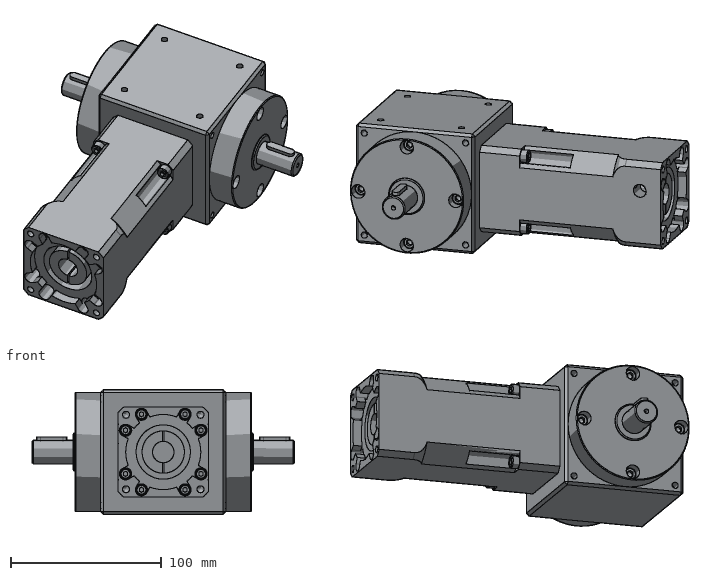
import cadquery as cq
import math

box_size = 83.0
box_half = box_size / 2
overall_length = 209.7
box_chamfer = 1.9
input_face_y = box_half - overall_length

flange_radius = 39.6
flange_face_x = 58.7
flange_chamfer = 0.6
flange_screw_offset = 34.0
flange_bore_radius = 4.6
flange_bore_depth = 10.5

tap_radius = 2.0
tap_depth = 8.4
top_tap_offset = 28.3
side_tap_offset = 35.5

shaft_radius = 8.0
shaft_half_length = 87.0
shaft_chamfer = 0.8
collar_radius = 12.5
collar_face_x = 60.0
collar_chamfer = 0.8
center_hole_radius = 1.5
center_hole_depth = 5.0

key_width = 5.0
key_length = 20.1
key_height = 5.0
key_top_z = 10.0
key_center_x = 74.0

square_size = 60.0
wide_corner_radius = 39.8
narrow_corner_radius = 35.0
adapter_end_y = -69.5
groove_end_y = -104.2
flare_end_y = -143.2
flare_arc_radius = 10.0

corner_screw_offset = 24.7
groove_radius = 5.0

corner_tap_radius = 2.3
pilot_radius = 25.0
pilot_depth = 6.0
bolt_circle_radius = 29.0
bolt_half_angle = 15.0
bolt_bore_radius = 4.0
bolt_bore_depth = 31.5
hub_pocket_radius = 18.0
hub_pocket_depth = 31.5
access_hole_radius = 4.5
access_hole_y = -153.5
access_hole_z = 10.0

hub_radius = 14.0
hub_bore_radius = 7.1
hub_face_depth = 6.5
hub_slot_width = 1.0
hub_slot_depth = 16.8

large_head_radius = 4.2
large_head_height = 5.0
large_hex_size = 4.0
small_head_radius = 3.5
small_head_height = 4.0
small_hex_size = 3.0
head_chamfer = 0.6
hex_depth_ratio = 0.5

drill_point_angle = 118.0

OUTWARD = (0, -1, 0)
INWARD = (0, 1, 0)


def cylinder(start, direction, radius, length):
    """Solid cylinder from a start point along a direction."""
    return cq.Workplane(cq.Solid.makeCylinder(radius, length, cq.Vector(*start), cq.Vector(*direction)))


def drill_tip(start, axis, radius):
    """Cone left by a drill beyond the end of a cylindrical hole."""
    tip_length = radius / math.tan(math.radians(drill_point_angle / 2))
    return cq.Workplane(cq.Solid.makeCone(radius, 0, tip_length, start, axis))


def drilled_hole(start, direction, radius, depth):
    """Cutter for a blind hole with a conical drill point."""
    axis = cq.Vector(*direction)
    tip = drill_tip(cq.Vector(*start) + axis * depth, axis, radius)
    return cylinder(start, direction, radius, depth).union(tip)


def socket_head(base, direction, radius, height, hex_size):
    """Screw head standing on its base point, with a hexagon socket in its top."""
    axis = cq.Vector(*direction)
    top = cq.Plane(origin=cq.Vector(*base) + axis * height, normal=axis)
    hex_diameter = hex_size / math.cos(math.pi / 6)
    socket = cq.Workplane(top).polygon(6, hex_diameter).extrude(-height * hex_depth_ratio)
    head = cylinder(base, direction, radius, height).faces(cq.DirectionMinMaxSelector(axis, True))
    return head.chamfer(head_chamfer).cut(socket)


def large_head(base, direction):
    """Large screw head, whose socket ends in a drill point."""
    head = socket_head(base, direction, large_head_radius, large_head_height, large_hex_size)
    socket_floor = cq.Vector(*base) + cq.Vector(*direction) * (large_head_height * (1 - hex_depth_ratio))
    tip = drill_tip(socket_floor, cq.Vector(*direction) * -1, large_hex_size / 2)
    return head.cut(tip)


def small_head(base, direction):
    """Small screw head with a flat socket floor."""
    return socket_head(base, direction, small_head_radius, small_head_height, small_hex_size)


def square_points(offset):
    """Four points of a centred square pattern."""
    return [(a, b) for a in (-offset, offset) for b in (-offset, offset)]


def build_housing():
    housing = cq.Workplane("XY").box(box_size, box_size, box_size).edges().chamfer(box_chamfer)

    flanges = cylinder((-flange_face_x, 0, 0), (1, 0, 0), flange_radius, 2 * flange_face_x)
    flanges = flanges.edges().chamfer(flange_chamfer)
    housing = housing.union(flanges)

    for side in (-1, 1):
        outward = (side, 0, 0)
        inward = (-side, 0, 0)
        for a, b in ((1, 0), (-1, 0), (0, 1), (0, -1)):
            y = a * flange_screw_offset
            z = b * flange_screw_offset
            start = (side * flange_face_x, y, z)
            base = (side * (flange_face_x - flange_bore_depth), y, z)
            bore = cylinder(start, inward, flange_bore_radius, flange_bore_depth)
            housing = housing.cut(bore).union(large_head(base, outward))
        for y, z in square_points(side_tap_offset):
            housing = housing.cut(drilled_hole((side * box_half, y, z), inward, tap_radius, tap_depth))

    for x, y in square_points(top_tap_offset):
        housing = housing.cut(drilled_hole((x, y, box_half), (0, 0, -1), tap_radius, tap_depth))

    shaft_bore = cylinder((-flange_face_x, 0, 0), (1, 0, 0), collar_radius, 2 * flange_face_x)
    return housing.cut(shaft_bore)


def build_key(side):
    key = cq.Workplane("XY").workplane(offset=key_top_z - key_height)
    key = key.center(side * key_center_x, 0).slot2D(key_length, key_width)
    return key.extrude(key_height)


def build_shaft(keys):
    shaft = cylinder((-shaft_half_length, 0, 0), (1, 0, 0), shaft_radius, 2 * shaft_half_length)
    shaft = shaft.edges().chamfer(shaft_chamfer)
    collar = cylinder((-collar_face_x, 0, 0), (1, 0, 0), collar_radius, 2 * collar_face_x)
    shaft = shaft.union(collar.edges().chamfer(collar_chamfer))
    for side in (-1, 1):
        start = (side * shaft_half_length, 0, 0)
        shaft = shaft.cut(drilled_hole(start, (-side, 0, 0), center_hole_radius, center_hole_depth))
    for key in keys:
        shaft = shaft.cut(key)
    return shaft


def gearbox_outline():
    """Square bar trimmed by a turned profile, which rounds the corners by different amounts."""
    length = -box_half - input_face_y
    bar = cq.Workplane("XZ", origin=(0, -box_half, 0)).rect(square_size, square_size).extrude(length)

    arc_center_radius = wide_corner_radius - flare_arc_radius
    start_angle = math.acos((narrow_corner_radius - arc_center_radius) / flare_arc_radius)
    flare_start_y = flare_end_y + flare_arc_radius * math.sin(start_angle)
    flare_middle = (
        arc_center_radius + flare_arc_radius * math.cos(start_angle / 2),
        flare_end_y + flare_arc_radius * math.sin(start_angle / 2),
    )
    turned = (
        cq.Workplane("XY")
        .moveTo(0, -box_half)
        .lineTo(wide_corner_radius, -box_half)
        .lineTo(wide_corner_radius, adapter_end_y)
        .lineTo(narrow_corner_radius, adapter_end_y)
        .lineTo(narrow_corner_radius, flare_start_y)
        .threePointArc(flare_middle, (wide_corner_radius, flare_end_y))
        .lineTo(wide_corner_radius, input_face_y)
        .lineTo(0, input_face_y)
        .close()
        .revolve(360, (0, 0, 0), (0, 1, 0))
    )
    return bar.intersect(turned)


def add_corner_grooves(gearbox):
    """Groove along each corner, with a large screw head standing on the adapter."""
    groove_length = adapter_end_y - groove_end_y
    for x, z in square_points(corner_screw_offset):
        start = (x, adapter_end_y, z)
        gearbox = gearbox.cut(cylinder(start, OUTWARD, groove_radius, groove_length))
        gearbox = gearbox.union(large_head(start, OUTWARD))
    return gearbox


def cut_input_face(gearbox):
    """Pilot recess, hub pocket and corner tapped holes of the motor flange."""
    face_center = (0, input_face_y, 0)
    gearbox = gearbox.cut(cylinder(face_center, INWARD, pilot_radius, pilot_depth))
    gearbox = gearbox.cut(cylinder(face_center, INWARD, hub_pocket_radius, hub_pocket_depth))
    for x, z in square_points(corner_screw_offset):
        gearbox = gearbox.cut(drilled_hole((x, input_face_y, z), INWARD, corner_tap_radius, tap_depth))
    return gearbox


def add_flange_screw(gearbox, angle):
    """Deep bore with a small screw, opened to the pilot recess by a radial slot."""
    x = bolt_circle_radius * math.cos(math.radians(angle))
    z = bolt_circle_radius * math.sin(math.radians(angle))
    bore = cylinder((x, input_face_y, z), INWARD, bolt_bore_radius, bolt_bore_depth)
    slot = (
        cq.Workplane("XZ", origin=(0, input_face_y, 0))
        .transformed(rotate=(0, 0, angle))
        .center(bolt_circle_radius / 2, 0)
        .rect(bolt_circle_radius, 2 * bolt_bore_radius)
        .extrude(-pilot_depth)
    )
    head = small_head((x, input_face_y + bolt_bore_depth, z), OUTWARD)
    return gearbox.cut(bore).cut(slot).union(head)


def build_gearbox():
    gearbox = add_corner_grooves(gearbox_outline())
    gearbox = cut_input_face(gearbox)
    for corner_angle in (45, 135, 225, 315):
        for side in (-1, 1):
            gearbox = add_flange_screw(gearbox, corner_angle + side * bolt_half_angle)

    start = (-square_size / 2, access_hole_y, access_hole_z)
    return gearbox.cut(cylinder(start, (1, 0, 0), access_hole_radius, square_size / 2))


def build_hub():
    length = hub_pocket_depth - hub_face_depth
    face_y = input_face_y + hub_face_depth
    hub = cylinder((0, face_y, 0), (0, 1, 0), hub_radius, length)
    hub = hub.cut(cylinder((0, face_y, 0), (0, 1, 0), hub_bore_radius, length))
    slot_length = 2 * hub_radius + hub_slot_width
    slot = cq.Workplane("XZ", origin=(0, face_y, 0)).rect(hub_slot_width, slot_length)
    return hub.cut(slot.extrude(-hub_slot_depth))


housing = build_housing()
keys = [build_key(side) for side in (-1, 1)]
shaft = build_shaft(keys)
gearbox = build_gearbox()
hub = build_hub()

result = cq.Compound.makeCompound(
    [housing.val(), shaft.val(), *[key.val() for key in keys], gearbox.val(), hub.val()]
)